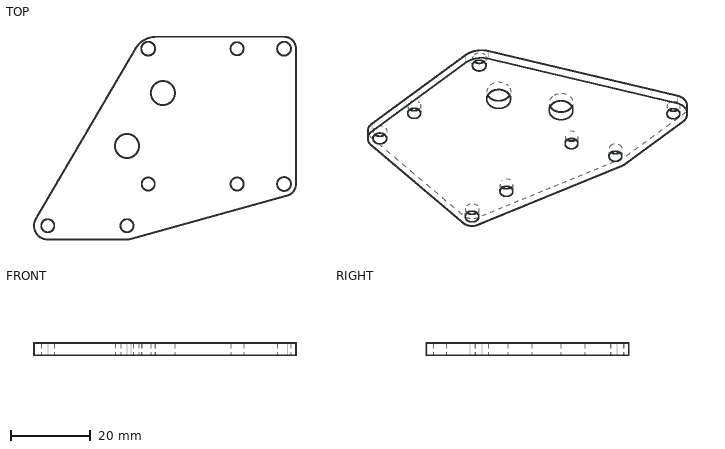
import cadquery as cq
import math

length = 65.85
width = 51.0
thickness = 3.15

lower_radius = 3.5
right_radius = 3.0
upper_left_radius = 6.0

small_hole = 3.2
corner_hole = 3.4
large_hole = 6.0

left_x = lower_radius
bottom_x = 23.4
inner_x = 28.7
middle_x = 51.05
right_x = length - right_radius
bottom_y = lower_radius
lower_row_y = 13.95
upper_row_y = width - right_radius
upper_left_center_x = 30.7
large_hole_centers = [(bottom_x, 23.5), (32.4, 36.8)]

corners = [
    (left_x, bottom_y, lower_radius),
    (bottom_x, bottom_y, lower_radius),
    (right_x, lower_row_y, right_radius),
    (right_x, upper_row_y, right_radius),
    (upper_left_center_x, width - upper_left_radius, upper_left_radius),
]


def outward_angle(start, end):
    """Direction of the outward normal of the edge tangent to two corner circles."""
    dx = end[0] - start[0]
    dy = end[1] - start[1]
    taper = math.asin((start[2] - end[2]) / math.hypot(dx, dy))
    return math.atan2(dy, dx) - math.pi / 2 + taper


def point_on_corner(corner, angle):
    x, y, radius = corner
    return (x + radius * math.cos(angle), y + radius * math.sin(angle))


def make_plate():
    """Plate bounded by corner arcs joined with tangent straight edges."""
    edge_angles = [
        outward_angle(corner, corners[(i + 1) % len(corners)])
        for i, corner in enumerate(corners)
    ]
    outline = cq.Workplane("XY").moveTo(*point_on_corner(corners[0], edge_angles[0]))
    for i in range(1, len(corners) + 1):
        corner = corners[i % len(corners)]
        arrival = edge_angles[i - 1]
        departure = edge_angles[i % len(corners)]
        turn = (departure - arrival) % (2 * math.pi)
        outline = outline.lineTo(*point_on_corner(corner, arrival))
        outline = outline.threePointArc(
            point_on_corner(corner, arrival + turn / 2),
            point_on_corner(corner, departure),
        )
    return outline.close().extrude(thickness)


def drill(plate, centers, diameter):
    """Cut through holes of one diameter."""
    holes = cq.Workplane("XY").pushPoints(centers).circle(diameter / 2).extrude(thickness)
    return plate.cut(holes)


small_hole_centers = [
    (left_x, bottom_y),
    (bottom_x, bottom_y),
    (inner_x, lower_row_y),
    (middle_x, lower_row_y),
    (middle_x, upper_row_y),
]
corner_hole_centers = [
    (inner_x, upper_row_y),
    (right_x, upper_row_y),
    (right_x, lower_row_y),
]

result = make_plate()
result = drill(result, small_hole_centers, small_hole)
result = drill(result, corner_hole_centers, corner_hole)
result = drill(result, large_hole_centers, large_hole)